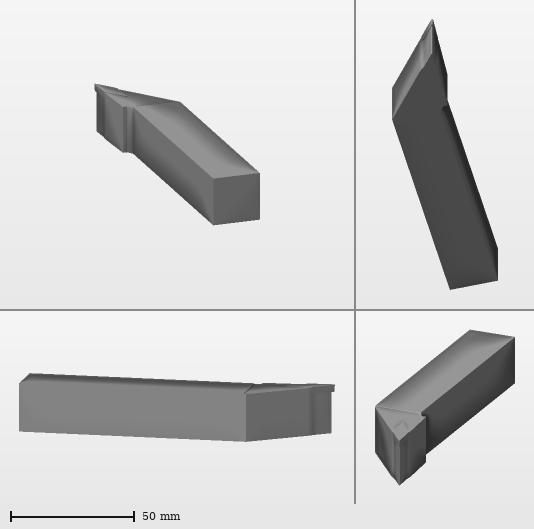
import cadquery as cq
import math

total_length = 125.0
shank_size = 20.0
tip_reach = 5.0

tip_angle = 35.0
lead_angle = 3.0
edge_length = 11.4
nose_radius = 0.4
insert_thickness = 3.0
relief_angle = 5.0

head_drop = 0.4
shank_start = 32.1
ramp_length = 0.4
head_end = 29.5
shoulder_top = -1.6
flank_recess = 0.5
head_nose_radius = 0.3
blend_start = 8.9
blend_end = 13.0

head_top = shank_size - head_drop
half_angle = math.radians(tip_angle / 2)
front_angle = math.radians(lead_angle)
back_angle = math.radians(lead_angle + tip_angle)
axis_angle = front_angle + half_angle

nose_center_distance = nose_radius / math.sin(half_angle)
tip_x = nose_radius - nose_center_distance * math.cos(axis_angle)
tip_y = -tip_reach + nose_radius - nose_center_distance * math.sin(axis_angle)


def flank_point(along, inset, back=False):
    """Point at a distance along a flank from the sharp tip, set inward by inset."""
    angle = back_angle if back else front_angle
    inward = angle - math.pi / 2 if back else angle + math.pi / 2
    return (
        tip_x + along * math.cos(angle) + inset * math.cos(inward),
        tip_y + along * math.sin(angle) + inset * math.sin(inward),
    )


def axis_point(distance):
    """Point on the bisector of the tip, measured from the sharp tip."""
    return (tip_x + distance * math.cos(axis_angle), tip_y + distance * math.sin(axis_angle))


def make_insert():
    """Rhombic insert with two rounded noses, narrowing downward by the relief angle."""
    diagonal = 2 * edge_length * math.cos(half_angle)
    tangent_length = nose_radius / math.tan(half_angle)
    nose_depth = nose_center_distance - nose_radius

    def opposite(point):
        center_x, center_y = axis_point(diagonal / 2)
        return (2 * center_x - point[0], 2 * center_y - point[1])

    front_tangent = flank_point(tangent_length, 0)
    back_tangent = flank_point(tangent_length, 0, back=True)
    nose = axis_point(nose_depth)
    return (
        cq.Workplane("XY", origin=(0, 0, shank_size))
        .moveTo(*front_tangent)
        .lineTo(*flank_point(edge_length, 0))
        .lineTo(*opposite(back_tangent))
        .threePointArc(opposite(nose), opposite(front_tangent))
        .lineTo(*flank_point(edge_length, 0, back=True))
        .lineTo(*back_tangent)
        .threePointArc(nose, front_tangent)
        .close()
        .extrude(-insert_thickness, taper=relief_angle)
    )


def make_head():
    """Head plate: an S-shaped blend on each flank leads from the recess to the full width."""
    blend_middle = (blend_start + blend_end) / 2
    half_length = blend_middle - blend_start
    half_step = flank_recess / 2
    blend_radius = (half_length**2 + half_step**2) / (2 * half_step)
    sag = blend_radius - math.sqrt(blend_radius**2 - (half_length / 2) ** 2)
    concave_middle = (blend_start + half_length / 2, flank_recess - sag)
    convex_middle = (blend_end - half_length / 2, sag)

    nose_center = (flank_recess + head_nose_radius) / math.sin(half_angle)
    nose_start = (flank_recess + head_nose_radius) / math.tan(half_angle)
    front_nose = flank_point(nose_start, flank_recess)
    back_nose = flank_point(nose_start, flank_recess, back=True)

    front_end_y = tip_y + (head_end - tip_x) * math.tan(front_angle)
    back_end_x = tip_x + (shank_size - tip_y) / math.tan(back_angle)
    return (
        cq.Workplane("XY")
        .moveTo(*front_nose)
        .lineTo(*flank_point(blend_start, flank_recess))
        .threePointArc(flank_point(*concave_middle), flank_point(blend_middle, half_step))
        .threePointArc(flank_point(*convex_middle), flank_point(blend_end, 0))
        .lineTo(head_end, front_end_y)
        .lineTo(head_end, shoulder_top)
        .lineTo(shank_start, 0)
        .lineTo(shank_start, shank_size)
        .lineTo(back_end_x, shank_size)
        .lineTo(*flank_point(blend_end, 0, back=True))
        .threePointArc(
            flank_point(*convex_middle, back=True), flank_point(blend_middle, half_step, back=True)
        )
        .threePointArc(
            flank_point(*concave_middle, back=True),
            flank_point(blend_start, flank_recess, back=True),
        )
        .lineTo(*back_nose)
        .threePointArc(axis_point(nose_center - head_nose_radius), front_nose)
        .close()
        .extrude(head_top)
    )


def make_shank():
    """Square shank with a concave ramp that runs smoothly into the head top."""
    ramp_start = shank_start - ramp_length
    ramp_radius = (ramp_length**2 + head_drop**2) / (2 * head_drop)
    ramp_middle_x = ramp_start + ramp_length / 2
    ramp_middle_z = head_top + ramp_radius - math.sqrt(ramp_radius**2 - (ramp_length / 2) ** 2)
    return (
        cq.Workplane("XZ")
        .moveTo(ramp_start, 0)
        .lineTo(ramp_start, head_top)
        .threePointArc((ramp_middle_x, ramp_middle_z), (shank_start, shank_size))
        .lineTo(total_length, shank_size)
        .lineTo(total_length, 0)
        .close()
        .extrude(-shank_size)
    )



insert = make_insert()
holder = make_shank().union(make_head()).cut(insert)

result = cq.Compound.makeCompound([holder.solids().val(), insert.val()])